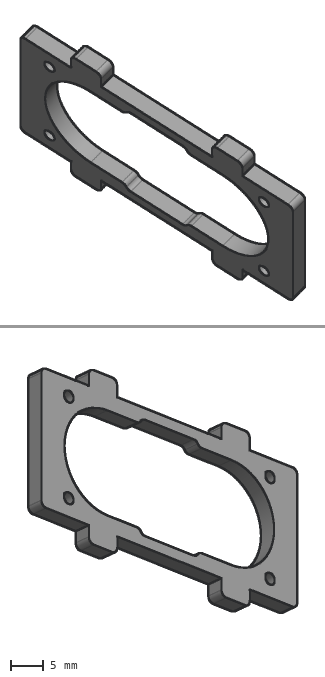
import cadquery as cq
import math

plate_length = 54.0
plate_height = 24.0
thickness = 3.0
corner_radius = 1.0

overall_height = 30.0
tab_width = 6.0
tab_spacing = 27.95

window_length = 44.15
window_height = 18.05
relief_height = 20.0
relief_mid_length = 12.0
relief_radius = 1.0

hole_diameter = 2.0
hole_spacing_x = 42.45
hole_spacing_z = 17.5


def prism(sketch):
    """Extrude a sketch on the XZ plane, centred through the thickness."""
    return sketch.extrude(thickness / 2, both=True)


def plate():
    return prism(cq.Workplane("XZ").rect(plate_length, plate_height)).edges("|Y").fillet(corner_radius)


def tab_pair(x):
    """Full-height bar whose ends form the upper and lower tabs."""
    bar = cq.Workplane("XZ").center(x, 0).rect(tab_width, overall_height)
    return prism(bar).edges("|Y").fillet(corner_radius)


def relief():
    """Central widening whose ends are S-curves of two equal tangent arcs."""
    rise = (relief_height - window_height) / 2
    run = math.sqrt(4 * relief_radius * rise - rise**2)
    mid_half = relief_mid_length / 2
    inner_half = mid_half - run / 2
    outer_half = mid_half + run / 2
    base_z = window_height / 2
    top_z = relief_height / 2
    quarter = prism(
        cq.Workplane("XZ")
        .moveTo(0, top_z)
        .lineTo(inner_half, top_z)
        .tangentArcPoint((mid_half, base_z + rise / 2), relative=False)
        .tangentArcPoint((outer_half, base_z), relative=False)
        .lineTo(outer_half, 0)
        .lineTo(0, 0)
        .close()
    )
    upper_half = quarter.union(quarter.mirror("YZ"))
    return upper_half.union(upper_half.mirror("XY"))


def window():
    slot = prism(cq.Workplane("XZ").slot2D(window_length, window_height))
    return slot.union(relief()).clean()


def mounting_holes():
    holes = cq.Workplane("XZ").rect(hole_spacing_x, hole_spacing_z, forConstruction=True).vertices()
    return prism(holes.circle(hole_diameter / 2))


body = plate()
for side in (-1, 1):
    body = body.union(tab_pair(side * tab_spacing / 2))

result = body.cut(window()).cut(mounting_holes())